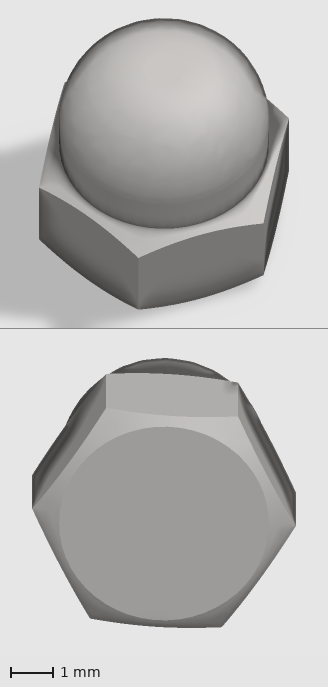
import cadquery as cq
import math

across_corners = 6.29
total_height = 5.85
dome_radius = 2.5
dome_fillet = 2.0
collar_height = 1.0
chamfer_angle = 30.0

corner_radius = across_corners / 2
hex_height = total_height - dome_fillet - collar_height
chamfer_drop = (corner_radius - dome_radius) * math.tan(math.radians(chamfer_angle))


def chamfered_hex():
    """Hexagon with corners on X, both ends trimmed by a 30 degree cone."""
    hexagon = cq.Workplane("XY").polygon(6, across_corners).extrude(hex_height)
    envelope = (
        cq.Workplane("XZ")
        .lineTo(dome_radius, 0)
        .lineTo(corner_radius, chamfer_drop)
        .lineTo(corner_radius, hex_height - chamfer_drop)
        .lineTo(dome_radius, hex_height)
        .lineTo(0, hex_height)
        .close()
        .revolve(360, (0, 0, 0), (0, 1, 0))
    )
    return hexagon.intersect(envelope)


def domed_cap():
    """Cylindrical collar rounded over into a flat-topped dome."""
    return (
        cq.Workplane("XY")
        .workplane(offset=hex_height)
        .circle(dome_radius)
        .extrude(collar_height + dome_fillet)
        .faces(">Z")
        .edges()
        .fillet(dome_fillet)
    )


result = chamfered_hex().union(domed_cap())